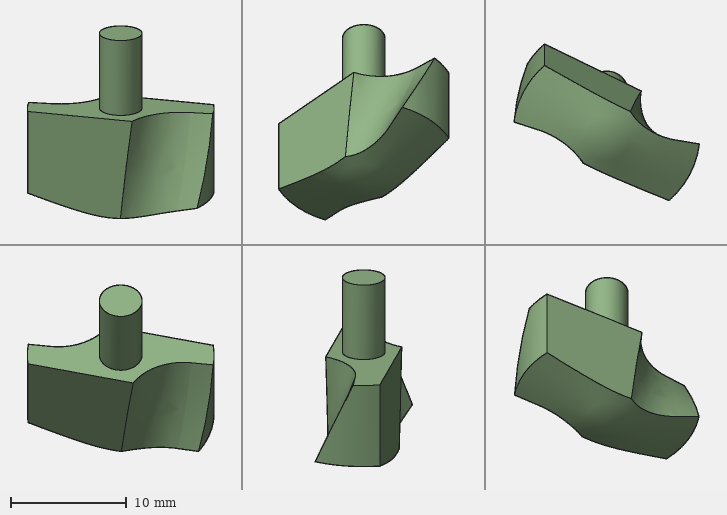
import cadquery as cq
import math

drill_diameter = 16.17
blade_thickness = 5.97
shank_diameter = 3.7
total_height = 16.9
blade_top = 10.0
cone_height = 2.47

face_start_x = 6.12
face_start_y = 0.52
face_angle = 6.4
face_length = 3.38
flute_radius = 5.07
twist_per_unit = 3.314

drill_radius = drill_diameter / 2


def make_blade():
    """Pointed cylinder trimmed to a flat blade."""
    pointed_cylinder = (
        cq.Workplane("XZ")
        .polyline([(0, 0), (drill_radius, cone_height), (drill_radius, blade_top), (0, blade_top)])
        .close()
        .revolve(360, (0, 0, 0), (0, 1, 0))
    )
    slab = cq.Workplane("XY").box(
        drill_diameter, blade_thickness, blade_top, centered=(True, True, False)
    )
    return pointed_cylinder.intersect(slab)


def make_flute():
    """Twisted cutter for the +X flute, reaching outside the blade."""
    angle = math.radians(face_angle)
    center_x = face_start_x + flute_radius * math.sin(angle)
    center_y = face_start_y - flute_radius * math.cos(angle)
    arc_end = (center_x - flute_radius, center_y)
    arc_middle_angle = (math.radians(90 + face_angle) + math.pi) / 2
    arc_middle = (
        center_x + flute_radius * math.cos(arc_middle_angle),
        center_y + flute_radius * math.sin(arc_middle_angle),
    )
    face_end = (
        face_start_x + face_length * math.cos(angle),
        face_start_y + face_length * math.sin(angle),
    )
    twist = twist_per_unit * blade_top
    return (
        cq.Workplane("XY")
        .transformed(rotate=(0, 0, -twist))
        .moveTo(*face_end)
        .lineTo(face_start_x, face_start_y)
        .threePointArc(arc_middle, arc_end)
        .lineTo(face_end[0], center_y)
        .close()
        .twistExtrude(blade_top, twist)
    )


blade = make_blade()
flute = make_flute()
for turn in (0, 180):
    blade = blade.cut(flute.rotate((0, 0, 0), (0, 0, 1), turn))

shank = (
    cq.Workplane("XY")
    .workplane(offset=blade_top)
    .circle(shank_diameter / 2)
    .extrude(total_height - blade_top)
)
result = blade.union(shank)